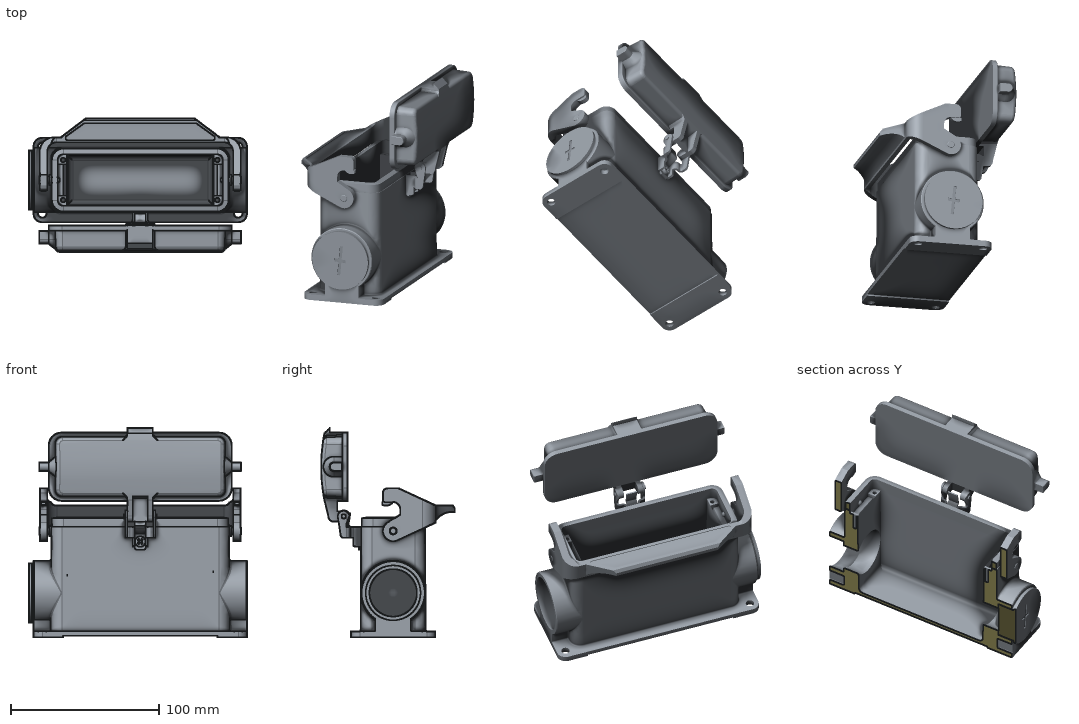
import cadquery as cq
import math

PLATE_X, PLATE_Y, PLATE_Z = 144.0, 57.0, 4.0
PLATE_CORNER = 6.0
MOUNT_HOLE = 5.6
RELIEF_X, RELIEF_Z = 104.0, 1.0

BOX_HALF_X, BOX_HALF_Y = 60.3, 22.0
BOX_CORNER = 7.5
BOX_DRAFT = 0.35
BOX_TOP = 74.7
FOOT_FILLET = 0.9

GASKET_OUTER_TOP, GASKET_INNER_TOP = 80.3, 80.9
GASKET_INSET, GASKET_FLAT = 0.4, 0.2

MOUTH_HALF_X, MOUTH_HALF_Y, MOUTH_CORNER = 55.6, 17.3, 3.6
CAVITY_HALF_X, CAVITY_DRAFT = 49.6, 0.8
FLOOR_Z, FLOOR_FILLET = 4.0, 3.2
SEAT_Z = 72.0
LEDGE_DROP = 3.0
LEDGE_HALF_Y = 10.7
LEDGE_SLOPE = 2.4
SEAT_HOLE, SEAT_HOLE_DEPTH = 3.0, 12.0
SEAT_HOLE_X, SEAT_HOLE_Y = 52.0, 13.5

ENTRY_Z = 30.0
ENTRY_RADIUS = 21.8
ENTRY_INNER_X = 45.0
ENTRY_CHAMFER = 0.5
ENTRY_LEG_HALF_Y = 12.0
ENTRY_BORE, ENTRY_SOCKET = 32.0, 37.0
ENTRY_SOCKET_DEPTH = 11.0

PLUG_HEAD, PLUG_HEAD_T = 40.0, 2.0
PLUG_NECK, PLUG_NECK_T = 37.5, 1.0
SLOT_LONG, SLOT_SHORT, SLOT_W, SLOT_DEPTH = 20.2, 8.0, 2.1, 0.6
SLOT_TILT = 5.5

PIVOT_Z, PIVOT_PIN, PIVOT_BOSS = 71.7, 4.8, 7.0
PIVOT_BOSS_END_X, PIVOT_END_X = 61.4, 68.2
PIN_CHAMFER = 0.3
RIVET_RADIUS, RIVET_SINK = 1.9, 0.4
LEVER_HALF_X, LEVER_ARM_T = 67.7, 5.1
LEVER_BACK_Y, LEVER_BAR_T = 28.7, 3.3
LEVER_OUTER_BEND, LEVER_INNER_BEND = 9.2, 6.2
LEVER_EYE_RADIUS = 6.9
LEVER_FRONT_Y = -6.9
LEVER_TOP, LEVER_TOP_EDGE_Y = 100.5, 3.7
LEVER_CORNER, HOOK_CORNER = 3.0, 1.4
LEVER_BAR_TOP, LEVER_BAR_BOTTOM = 88.9, 77.3
BAR_RUNOUT, BAR_TRIM_FILLET = 2.0, 4.0
NOTCH_BACK_Y, NOTCH_TOP, NOTCH_BOTTOM, NOTCH_R = 4.7, 91.2, 82.7, 5.0
TOOTH_W, TOOTH_DROP, TOOTH_TIP_Y, TOOTH_TIP_T = 3.0, 2.4, -7.4, 1.9
FLAP_TIP_Y, FLAP_TIP_HALF_X, FLAP_ROOT_HALF_X = 41.67, 36.5, 53.6
FLAP_BEVEL_Y, FLAP_BEVEL_Z, FLAP_TIP_T = 1.5, 2.0, 4.5
FLAP_UNDERSIDE = (33.7, 83.1)
RECESS_DEPTH, RECESS_CORNER = 0.5, 1.2
RECESS_NEAR_Y, RECESS_SHOULDER_Y, RECESS_FAR_Y = 26.9, 29.2, 38.2
RECESS_NEAR_HALF_X, RECESS_FAR_HALF_X = 50.3, 37.8

COVER_Z = 115.0
FLANGE_HALF_X, FLANGE_HALF_Z, FLANGE_CORNER = 61.8, 23.1, 9.0
FLANGE_BACK_Y, FLANGE_FRONT_Y = -30.6, -34.2
FLANGE_EDGE = 0.6
HOOD_HALF_X, HOOD_HALF_Z, HOOD_CORNER = 57.4, 20.3, 5.0
HOOD_DRAFT = 3.0
HOOD_EDGE = 2.4
FACE_APEX_Y, FACE_END_Y = -48.6, -46.4
FACE_HALF_Z = 22.4
STRAP_HALF_X, STRAP_CHAMFER = 8.6, 1.3
HOOK_TIP_Z, HOOK_BACK_Y = 141.13, -42.6
LUG_BACK_Y, LUG_BOTTOM = -37.6, 78.05
LUG_TOE_START, LUG_TOE_MIDDLE, LUG_TOE_END_Y = (-43.8, 82.1), (-42.9, 79.3), -41.2
LUG_POCKET_HALF_X, LUG_POCKET_BACK_Y, LUG_POCKET_TOP = 5.2, -39.2, 95.7
LUG_POCKET_RAMP = 2.1
KNUCKLE_RADIUS = 3.5
PEG_AXIS_Y, PEG_RADIUS, PEG_ROOT_RADIUS = -39.9, 3.0, 7.2
PEG_ROOT_SINK, PEG_END_X = 0.8, 68.2

HINGE_Y, HINGE_Z, HINGE_PIN, HINGE_PIN_END_X = -33.3, 81.55, 3.0, 11.0
SHEET = 1.5
EYE_RADIUS = 4.0
PLATE_CORNER_CHAMFER = 0.9
EAR_INNER_X, EAR_BACK_Y, EAR_BEND = 8.7, -31.6, 2.8
EAR_FOOT = (-35.5, 69.0)
EAR_FOOT_MIDDLE, EAR_FOOT_END_Y = (-35.0, 67.7), -33.7
WALL_Y = -BOX_HALF_Y + 0.5
CHEEK_OUTER_X, CHEEK_FRONT_Y, FLARE_Y = 5.2, -26.9, -28.8
CHEEK_TOP, CHEEK_BOTTOM, ARM_BOTTOM = 74.4, 61.0, 67.0
CHEEK_BEVEL_Y, CHEEK_BEVEL_Z = 1.5, 0.7
BACK_PLATE_BOTTOM, BACK_PLATE_TOP, BACK_PLATE_FRONT_Y = 59.0, 71.5, WALL_Y - 1.7
SPRING_OUTER_FOLD = ((-30.0, 74.0), (-31.2, 75.2))
SPRING_INNER_FOLD = (-30.2, 75.4)
SPRING_ROOT_Y, SPRING_TIP_Y, SPRING_TIP_Z, SPRING_T = -22.6, -28.8, 83.6, 1.0
SCREW_Z, SCREW_HEAD, SCREW_HEAD_T = 64.6, 7.0, 2.2
CROSS_LENGTH, CROSS_W, CROSS_DEPTH = 4.0, 1.0, 1.0


def box(x0, x1, y0, y1, z0, z1):
    return cq.Workplane("XY").box(x1 - x0, y1 - y0, z1 - z0, centered=False).translate((x0, y0, z0))


def rounded_prism(half_x, half_y, z0, z1, corner, draft=0.0):
    sketch = cq.Sketch().rect(2 * half_x, 2 * half_y).vertices().fillet(corner)
    return cq.Workplane("XY").workplane(offset=z0).placeSketch(sketch).extrude(z1 - z0, taper=draft)


def x_cylinder(diameter, x0, x1, y, z):
    return cq.Workplane("YZ").workplane(offset=x0).center(y, z).circle(diameter / 2).extrude(x1 - x0)


def mirrored_pair(shape):
    return shape.union(shape.mirror("YZ"))


def side_extrude(profile, half_x):
    """Extrude a closed YZ profile symmetrically about the YZ plane."""
    return profile.extrude(half_x, both=True)


def tangent_point(point, centre, radius, side):
    """Point where a line from `point` touches the circle; side is +1 or -1."""
    dy, dz = point[0] - centre[0], point[1] - centre[1]
    angle = math.atan2(dz, dy) + side * math.acos(radius / math.hypot(dy, dz))
    return (centre[0] + radius * math.cos(angle), centre[1] + radius * math.sin(angle))


def is_entry_seam(edge):
    """True for the curved and upright edges where an entry and its leg meet the box."""
    centre = edge.Center()
    if not BOX_HALF_X - BOX_CORNER < abs(centre.x) < BOX_HALF_X + 0.1:
        return False
    is_leg_edge = edge.geomType() == "LINE" and abs(abs(centre.y) - ENTRY_LEG_HALF_Y) < 0.01
    return is_leg_edge or edge.geomType() in ("ELLIPSE", "BSPLINE")


def housing_shell():
    shell = rounded_prism(BOX_HALF_X, BOX_HALF_Y, PLATE_Z, BOX_TOP, BOX_CORNER, BOX_DRAFT)
    entry_end = PLATE_X / 2
    entry = x_cylinder(2 * ENTRY_RADIUS, ENTRY_INNER_X, entry_end, 0, ENTRY_Z)
    entry = entry.faces(">X").chamfer(ENTRY_CHAMFER)
    leg = box(ENTRY_INNER_X, entry_end, -ENTRY_LEG_HALF_Y, ENTRY_LEG_HALF_Y, PLATE_Z, ENTRY_Z)
    shell = shell.union(mirrored_pair(entry.union(leg)))
    seams = [edge for edge in shell.edges().vals() if is_entry_seam(edge)]
    shell = shell.newObject(seams).fillet(FOOT_FILLET)
    plate = rounded_prism(PLATE_X / 2, PLATE_Y / 2, 0, PLATE_Z, PLATE_CORNER)
    return shell.union(plate)


def mounting_cuts():
    hole_x, hole_y = PLATE_X / 2 - PLATE_CORNER, PLATE_Y / 2 - PLATE_CORNER
    holes = cq.Workplane("XY").rect(2 * hole_x, 2 * hole_y, forConstruction=True).vertices()
    holes = holes.circle(MOUNT_HOLE / 2).extrude(PLATE_Z)
    return holes.union(box(-RELIEF_X / 2, RELIEF_X / 2, -PLATE_Y, PLATE_Y, 0, RELIEF_Z))


def cavity():
    mouth = rounded_prism(MOUTH_HALF_X, MOUTH_HALF_Y, SEAT_Z, BOX_TOP, MOUTH_CORNER)
    well = cq.Workplane("XY").workplane(offset=SEAT_Z).rect(2 * CAVITY_HALF_X, 2 * MOUTH_HALF_Y)
    well = well.extrude(FLOOR_Z - SEAT_Z, taper=CAVITY_DRAFT)
    well = well.faces("<Z").edges().fillet(FLOOR_FILLET)
    ledge_z = SEAT_Z - LEDGE_DROP
    ledge_outline = [
        (CAVITY_HALF_X, SEAT_Z),
        (MOUTH_HALF_X, SEAT_Z),
        (MOUTH_HALF_X, ledge_z),
        (CAVITY_HALF_X + LEDGE_SLOPE, ledge_z),
        (CAVITY_HALF_X, ledge_z - 2 * LEDGE_SLOPE),
    ]
    ledge = cq.Workplane("XZ").polyline(ledge_outline).close().extrude(LEDGE_HALF_Y, both=True)
    holes = cq.Workplane("XY").workplane(offset=SEAT_Z - SEAT_HOLE_DEPTH)
    holes = holes.rect(2 * SEAT_HOLE_X, 2 * SEAT_HOLE_Y, forConstruction=True).vertices()
    holes = holes.circle(SEAT_HOLE / 2).extrude(SEAT_HOLE_DEPTH)
    return mouth.union(well).union(mirrored_pair(ledge)).union(holes)


def entry_bores():
    end = PLATE_X / 2
    bore = x_cylinder(ENTRY_BORE, ENTRY_INNER_X, end, 0, ENTRY_Z)
    socket = x_cylinder(ENTRY_SOCKET, end - ENTRY_SOCKET_DEPTH, end, 0, ENTRY_Z)
    return mirrored_pair(bore.union(socket))


def pivot_pins():
    boss = x_cylinder(PIVOT_BOSS, MOUTH_HALF_X, PIVOT_BOSS_END_X, 0, PIVOT_Z)
    pin = x_cylinder(PIVOT_PIN, PIVOT_BOSS_END_X, PIVOT_END_X, 0, PIVOT_Z)
    return mirrored_pair(boss.union(pin.faces(">X").chamfer(PIN_CHAMFER)))


def make_housing():
    body = housing_shell()
    zone_x, zone_y, zone_z = BOX_HALF_X + FOOT_FILLET, BOX_HALF_Y + FOOT_FILLET, 0.1
    foot_zone = ((-zone_x, -zone_y, PLATE_Z - zone_z), (zone_x, zone_y, PLATE_Z + zone_z))
    body = body.edges(cq.selectors.BoxSelector(*foot_zone)).fillet(FOOT_FILLET)
    body = body.union(pivot_pins())
    body = body.cut(mounting_cuts()).cut(cavity()).cut(entry_bores())
    rivet_head = cq.Workplane("XY").sphere(RIVET_RADIUS).translate((MOUTH_HALF_X + RIVET_SINK, 0, PIVOT_Z))
    return body.union(mirrored_pair(rivet_head))


def make_gasket():
    inset = (BOX_TOP - PLATE_Z) * math.tan(math.radians(BOX_DRAFT)) + GASKET_INSET
    half_x, half_y = BOX_HALF_X - inset, BOX_HALF_Y - inset
    gasket = rounded_prism(half_x, half_y, BOX_TOP, GASKET_INNER_TOP, BOX_CORNER)
    slope_height = GASKET_INNER_TOP - GASKET_OUTER_TOP
    gasket = gasket.faces(">Z").chamfer(slope_height, half_y - MOUTH_HALF_Y - GASKET_FLAT)
    gasket = gasket.cut(pivot_pins())
    return gasket.cut(rounded_prism(MOUTH_HALF_X, MOUTH_HALF_Y, BOX_TOP, GASKET_INNER_TOP, MOUTH_CORNER))


def make_plug():
    entry_x = -PLATE_X / 2
    neck_x = entry_x - PLUG_NECK_T
    head_x = neck_x - PLUG_HEAD_T
    plug = x_cylinder(PLUG_HEAD, head_x, neck_x, 0, ENTRY_Z)
    plug = plug.union(x_cylinder(PLUG_NECK, neck_x, entry_x, 0, ENTRY_Z))
    plug = plug.union(x_cylinder(ENTRY_SOCKET, entry_x, entry_x + ENTRY_SOCKET_DEPTH, 0, ENTRY_Z))
    slot = cq.Workplane("YZ").rect(SLOT_W, SLOT_LONG).extrude(SLOT_DEPTH)
    slot = slot.union(cq.Workplane("YZ").rect(SLOT_SHORT, SLOT_W).extrude(SLOT_DEPTH))
    slot = slot.rotate((0, 0, 0), (1, 0, 0), SLOT_TILT).translate((head_x, 0, ENTRY_Z))
    return plug.cut(slot)


def lever_side():
    pivot = (0, PIVOT_Z)
    notch_corner = (NOTCH_BACK_Y, NOTCH_BOTTOM)
    back_bottom = (LEVER_BACK_Y, LEVER_BAR_BOTTOM)
    eye_upper = tangent_point(notch_corner, pivot, LEVER_EYE_RADIUS, 1)
    eye_lower = tangent_point(back_bottom, pivot, LEVER_EYE_RADIUS, -1)
    profile = (
        cq.Workplane("YZ")
        .moveTo(*back_bottom)
        .lineTo(LEVER_BACK_Y, LEVER_BAR_TOP)
        .lineTo(LEVER_TOP_EDGE_Y, LEVER_TOP)
        .lineTo(LEVER_FRONT_Y + LEVER_CORNER, LEVER_TOP)
        .radiusArc((LEVER_FRONT_Y, LEVER_TOP - LEVER_CORNER), -LEVER_CORNER)
        .lineTo(LEVER_FRONT_Y, NOTCH_TOP + HOOK_CORNER)
        .radiusArc((LEVER_FRONT_Y + HOOK_CORNER, NOTCH_TOP), -HOOK_CORNER)
        .lineTo(NOTCH_BACK_Y - NOTCH_R, NOTCH_TOP)
        .radiusArc((NOTCH_BACK_Y, NOTCH_TOP - NOTCH_R), NOTCH_R)
        .lineTo(*notch_corner)
        .lineTo(*eye_upper)
        .threePointArc((-LEVER_EYE_RADIUS, PIVOT_Z), eye_lower)
        .close()
    )
    return side_extrude(profile, LEVER_HALF_X)


def lever_plan():
    def u_block(half_x, back_y, bend):
        block = box(-half_x, half_x, -PLATE_Y, back_y, 0, HOOK_TIP_Z)
        return block.edges("|Z and >Y").fillet(bend)

    outer = u_block(LEVER_HALF_X, LEVER_BACK_Y, LEVER_OUTER_BEND)
    return outer.cut(u_block(LEVER_HALF_X - LEVER_ARM_T, LEVER_BACK_Y - LEVER_BAR_T, LEVER_INNER_BEND))


def bar_trim(z0, z1, rounded_side):
    """Block that trims the bar above or below, rounded where it runs out into the arms."""
    half_x = LEVER_HALF_X - LEVER_ARM_T - BAR_RUNOUT
    trim = box(-half_x, half_x, 0, LEVER_BACK_Y, z0, z1)
    return trim.edges("|Y").edges(rounded_side).fillet(BAR_TRIM_FILLET)


def lever_flap():
    root_y = LEVER_BACK_Y - 1
    side = (
        cq.Workplane("YZ")
        .moveTo(root_y, LEVER_BAR_TOP)
        .lineTo(FLAP_TIP_Y - FLAP_BEVEL_Y, LEVER_BAR_TOP)
        .lineTo(FLAP_TIP_Y, LEVER_BAR_TOP - FLAP_BEVEL_Z)
        .lineTo(FLAP_TIP_Y, LEVER_BAR_TOP - FLAP_TIP_T)
        .threePointArc(FLAP_UNDERSIDE, (root_y, LEVER_BAR_BOTTOM))
        .close()
    )
    plan = (
        cq.Workplane("XY")
        .moveTo(-FLAP_ROOT_HALF_X, root_y)
        .lineTo(-FLAP_ROOT_HALF_X, LEVER_BACK_Y)
        .lineTo(-FLAP_TIP_HALF_X, FLAP_TIP_Y)
        .lineTo(FLAP_TIP_HALF_X, FLAP_TIP_Y)
        .lineTo(FLAP_ROOT_HALF_X, LEVER_BACK_Y)
        .lineTo(FLAP_ROOT_HALF_X, root_y)
        .close()
        .extrude(HOOK_TIP_Z)
    )
    return side_extrude(side, LEVER_HALF_X).intersect(plan)


def flap_recess():
    outline = [
        (-RECESS_NEAR_HALF_X, RECESS_NEAR_Y),
        (-RECESS_NEAR_HALF_X, RECESS_SHOULDER_Y),
        (-RECESS_FAR_HALF_X, RECESS_FAR_Y),
        (RECESS_FAR_HALF_X, RECESS_FAR_Y),
        (RECESS_NEAR_HALF_X, RECESS_SHOULDER_Y),
        (RECESS_NEAR_HALF_X, RECESS_NEAR_Y),
    ]
    floor = cq.Workplane("XY").workplane(offset=LEVER_BAR_TOP - RECESS_DEPTH)
    recess = floor.polyline(outline).close().extrude(2 * RECESS_DEPTH)
    return recess.edges("|Z and <Y").fillet(RECESS_CORNER)


def detent_teeth():
    tooth = (
        cq.Workplane("YZ")
        .moveTo(0, NOTCH_TOP)
        .threePointArc((TOOTH_TIP_Y / 2, NOTCH_TOP - TOOTH_DROP), (TOOTH_TIP_Y, NOTCH_TOP - TOOTH_TIP_T))
        .lineTo(TOOTH_TIP_Y, NOTCH_TOP)
        .lineTo(LEVER_FRONT_Y + HOOK_CORNER, NOTCH_TOP + HOOK_CORNER)
        .close()
        .extrude(TOOTH_W / 2, both=True)
    )
    return mirrored_pair(tooth.translate((LEVER_HALF_X - LEVER_ARM_T / 2, 0, 0)))


def make_lever():
    lever = lever_side().intersect(lever_plan())
    lever = lever.cut(bar_trim(LEVER_BAR_TOP, HOOK_TIP_Z, "<Z"))
    lever = lever.cut(bar_trim(0, LEVER_BAR_BOTTOM, ">Z"))
    lever = lever.union(lever_flap()).cut(flap_recess()).union(detent_teeth())
    return lever.cut(x_cylinder(PIVOT_PIN, -PLATE_X / 2, PLATE_X / 2, 0, PIVOT_Z))


def cover_block(half_x, half_z, corner, y0, y1, draft=0.0):
    sketch = cq.Sketch().rect(2 * half_x, 2 * half_z).vertices().fillet(corner)
    plane = cq.Workplane("XZ", origin=(0, y0, COVER_Z))
    return plane.placeSketch(sketch).extrude(y0 - y1, taper=draft)


def cover_profile():
    """Side profile of the closing hook, curved face and hinge lug."""
    bottom, top = COVER_Z - FACE_HALF_Z, COVER_Z + FACE_HALF_Z
    profile = (
        cq.Workplane("YZ")
        .moveTo(FLANGE_BACK_Y, COVER_Z + FLANGE_HALF_Z)
        .lineTo(HOOK_BACK_Y, COVER_Z + FLANGE_HALF_Z)
        .lineTo(HOOK_BACK_Y, HOOK_TIP_Z)
        .lineTo(FACE_END_Y, top)
        .threePointArc((FACE_APEX_Y, COVER_Z), (FACE_END_Y, bottom))
        .lineTo(*LUG_TOE_START)
        .threePointArc(LUG_TOE_MIDDLE, (LUG_TOE_END_Y, LUG_BOTTOM))
        .lineTo(LUG_BACK_Y, LUG_BOTTOM)
        .lineTo(LUG_BACK_Y, COVER_Z - FLANGE_HALF_Z)
        .lineTo(FLANGE_BACK_Y, COVER_Z - FLANGE_HALF_Z)
        .close()
    )
    return side_extrude(profile, FLANGE_HALF_X)


def is_strap_corner(edge):
    """True for the inner corners where the strap leaves the hood above and below."""
    centre = edge.Center()
    return (
        abs(abs(centre.x) - STRAP_HALF_X) < 0.1
        and abs(abs(centre.z - COVER_Z) - HOOD_HALF_Z) < 1.5
        and abs(edge.tangentAt(0.5).y) > 0.9
    )


def is_face_outline(edge):
    """True for the outline of the curved face, apart from the strap and its chamfers."""
    centre = edge.Center()
    return centre.y < FACE_END_Y + 2 and abs(centre.x) > STRAP_HALF_X + STRAP_CHAMFER


def hood_and_strap():
    front = FACE_APEX_Y - 1
    hood = cover_block(HOOD_HALF_X, HOOD_HALF_Z, HOOD_CORNER, FLANGE_FRONT_Y, front, HOOD_DRAFT)
    strap = box(-STRAP_HALF_X, STRAP_HALF_X, front, FLANGE_BACK_Y, LUG_BOTTOM, HOOK_TIP_Z)
    body = hood.union(strap)
    strap_corners = [edge for edge in body.edges().vals() if is_strap_corner(edge)]
    body = body.newObject(strap_corners).chamfer(STRAP_CHAMFER).intersect(cover_profile())
    face_outline = [edge for edge in body.edges().vals() if is_face_outline(edge)]
    body = body.newObject(face_outline).fillet(HOOD_EDGE)
    pocket_outline = [
        (front, LUG_BOTTOM),
        (LUG_POCKET_BACK_Y, LUG_BOTTOM),
        (LUG_POCKET_BACK_Y, LUG_POCKET_TOP - LUG_POCKET_RAMP),
        (front, LUG_POCKET_TOP),
    ]
    return body.cut(side_extrude(cq.Workplane("YZ").polyline(pocket_outline).close(), LUG_POCKET_HALF_X))


def hinge_knuckles():
    width = STRAP_HALF_X - LUG_POCKET_HALF_X
    plane = cq.Workplane("YZ").workplane(offset=LUG_POCKET_HALF_X)
    knuckle = plane.center(HINGE_Y, HINGE_Z).circle(KNUCKLE_RADIUS).extrude(width)
    web_bottom, web_top = HINGE_Z - KNUCKLE_RADIUS, HINGE_Z + KNUCKLE_RADIUS
    web = box(LUG_POCKET_HALF_X, STRAP_HALF_X, LUG_BACK_Y - 1, HINGE_Y, web_bottom, web_top)
    pin = x_cylinder(HINGE_PIN, LUG_POCKET_HALF_X, HINGE_PIN_END_X, HINGE_Y, HINGE_Z)
    return mirrored_pair(knuckle.union(web).union(pin))


def peg_section(x, radius):
    return (
        cq.Workplane("YZ", origin=(x, 0, COVER_Z))
        .moveTo(FLANGE_FRONT_Y, -radius)
        .lineTo(PEG_AXIS_Y, -radius)
        .threePointArc((PEG_AXIS_Y - radius, 0), (PEG_AXIS_Y, radius))
        .lineTo(FLANGE_FRONT_Y, radius)
        .close()
    )


def cover_pegs():
    root_x = HOOD_HALF_X - PEG_ROOT_SINK
    root = peg_section(root_x, PEG_ROOT_RADIUS).wires().val()
    shoulder = peg_section(FLANGE_HALF_X, PEG_RADIUS).wires().val()
    cone = cq.Workplane(cq.Solid.makeLoft([root, shoulder], True))
    peg = peg_section(root_x, PEG_RADIUS).extrude(PEG_END_X - root_x)
    peg = peg.faces(">X").chamfer(PIN_CHAMFER)
    return mirrored_pair(cone.union(peg))


def make_cover():
    flange = cover_block(FLANGE_HALF_X, FLANGE_HALF_Z, FLANGE_CORNER, FLANGE_BACK_Y, FLANGE_FRONT_Y)
    flange = flange.faces("<Y").edges().fillet(FLANGE_EDGE)
    return flange.union(hood_and_strap()).union(cover_pegs()).union(hinge_knuckles())


def bracket_side():
    ear_front = tangent_point(EAR_FOOT, (HINGE_Y, HINGE_Z), EYE_RADIUS, -1)
    profile = (
        cq.Workplane("YZ")
        .moveTo(WALL_Y, CHEEK_BOTTOM)
        .lineTo(CHEEK_FRONT_Y + CHEEK_BEVEL_Y, CHEEK_BOTTOM)
        .lineTo(CHEEK_FRONT_Y, CHEEK_BOTTOM + CHEEK_BEVEL_Z)
        .lineTo(CHEEK_FRONT_Y, ARM_BOTTOM)
        .lineTo(EAR_FOOT_END_Y, ARM_BOTTOM)
        .threePointArc(EAR_FOOT_MIDDLE, EAR_FOOT)
        .lineTo(*ear_front)
        .threePointArc((HINGE_Y, HINGE_Z + EYE_RADIUS), (HINGE_Y + EYE_RADIUS, HINGE_Z))
        .lineTo(EAR_BACK_Y, CHEEK_TOP + SHEET)
        .lineTo(EAR_BACK_Y, CHEEK_TOP)
        .lineTo(WALL_Y, CHEEK_TOP)
        .close()
    )
    return side_extrude(profile, HINGE_PIN_END_X)


def bracket_plan():
    cheek_inner = CHEEK_OUTER_X - SHEET
    ear_outer = EAR_INNER_X + SHEET
    flare_front = FLARE_Y - SHEET
    cheek_bend = CHEEK_FRONT_Y - FLARE_Y
    ear_end = FLARE_Y - EAR_BEND
    far_y = HINGE_Y - 2 * EYE_RADIUS
    half = (
        cq.Workplane("XY")
        .moveTo(cheek_inner, WALL_Y)
        .lineTo(CHEEK_OUTER_X, WALL_Y)
        .lineTo(CHEEK_OUTER_X, CHEEK_FRONT_Y)
        .radiusArc((CHEEK_OUTER_X + cheek_bend, FLARE_Y), -cheek_bend)
        .lineTo(ear_outer - EAR_BEND, FLARE_Y)
        .radiusArc((ear_outer, ear_end), EAR_BEND)
        .lineTo(ear_outer, far_y)
        .lineTo(EAR_INNER_X, far_y)
        .lineTo(EAR_INNER_X, ear_end)
        .radiusArc((ear_outer - EAR_BEND, flare_front), -(EAR_BEND - SHEET))
        .lineTo(CHEEK_OUTER_X + cheek_bend, flare_front)
        .radiusArc((cheek_inner, CHEEK_FRONT_Y), cheek_bend + SHEET)
        .close()
    )
    return mirrored_pair(half.extrude(HOOK_TIP_Z))


def back_plate_and_spring():
    """Back plate whose top folds out and up into a leaf spring behind the lug."""
    half_x = CHEEK_OUTER_X - SHEET
    outline = [
        (WALL_Y, BACK_PLATE_BOTTOM),
        (BACK_PLATE_FRONT_Y, BACK_PLATE_BOTTOM),
        (BACK_PLATE_FRONT_Y, BACK_PLATE_TOP - SHEET),
        *SPRING_OUTER_FOLD,
        (SPRING_TIP_Y - SPRING_T, SPRING_TIP_Z),
        (SPRING_TIP_Y, SPRING_TIP_Z),
        SPRING_INNER_FOLD,
        (SPRING_ROOT_Y, BACK_PLATE_TOP),
        (WALL_Y, BACK_PLATE_TOP),
    ]
    plate = side_extrude(cq.Workplane("YZ").polyline(outline).close(), half_x)
    return plate.edges("|Y and <Z").chamfer(PLATE_CORNER_CHAMFER)


def make_bracket(housing):
    bracket = bracket_side().intersect(bracket_plan())
    eye_top = HINGE_Z + EYE_RADIUS
    bracket = bracket.cut(box(-EAR_INNER_X, EAR_INNER_X, HINGE_Y, WALL_Y, CHEEK_TOP, eye_top))
    bracket = bracket.union(back_plate_and_spring())
    bracket = bracket.cut(x_cylinder(HINGE_PIN, -HINGE_PIN_END_X, HINGE_PIN_END_X, HINGE_Y, HINGE_Z))
    return bracket.union(screw_head()).cut(housing)


def screw_head():
    plane = cq.Workplane("XZ", origin=(0, BACK_PLATE_FRONT_Y, SCREW_Z))
    head = plane.circle(SCREW_HEAD / 2).extrude(SCREW_HEAD_T)
    recess = plane.workplane(offset=SCREW_HEAD_T - CROSS_DEPTH)
    cross = recess.rect(CROSS_LENGTH, CROSS_W).extrude(CROSS_DEPTH)
    cross = cross.union(recess.rect(CROSS_W, CROSS_LENGTH).extrude(CROSS_DEPTH))
    return head.cut(cross.rotate((0, 0, SCREW_Z), (0, 1, SCREW_Z), 45))


housing = make_housing()
gasket = make_gasket()
plug = make_plug()
lever = make_lever()
cover = make_cover()
bracket = make_bracket(housing)

result = cq.Compound.makeCompound(
    [housing.val(), gasket.val(), plug.val(), lever.val(), cover.val(), bracket.val()]
)